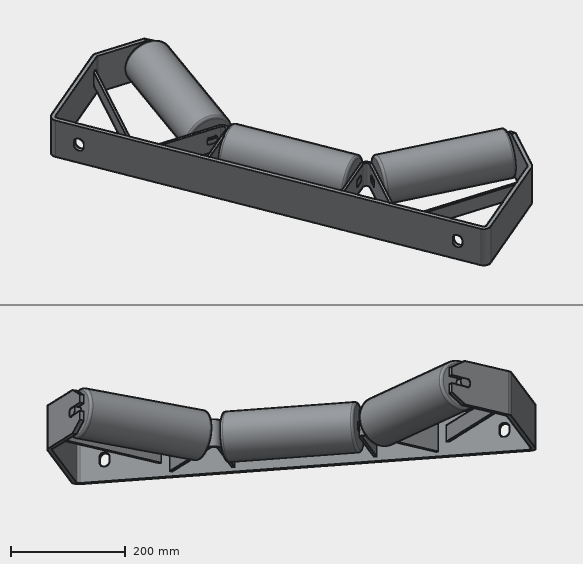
import cadquery as cq
import math

frame_length = 830.0
frame_height = 80.0
frame_thickness = 8.0
frame_outer_bend = 13.0
upright_height = 202.0
arm_length = 128.0
arm_tip_chamfer_height = 17.0
arm_tip_chamfer_length = 28.0

mount_hole_x = 358.0
mount_hole_width = 18.0
mount_hole_height = 26.0

trough_angle = 40.0
roller_tilt = 2.3

roller_diameter = 89.0
roller_length = 239.0
roller_edge_fillet = 5.0
roller_gap = 5.0
centre_roller_y = 100.5
side_roller_x = 251.0
side_roller_y = 192.5
shaft_diameter = 21.0
shaft_flat_width = 15.0

plate_thickness = 5.0
bracket_outer_bend = 12.0
bracket_height = 50.0
strut_height = 30.0
strut_top_y = 188.0

cos_trough = math.cos(math.radians(trough_angle))
sin_trough = math.sin(math.radians(trough_angle))
arm_rise = cos_trough
arm_run = sin_trough

carrier_face = roller_length / 2 + roller_gap
base_inner_y = frame_thickness


def mirrored(solid):
    """The right-hand twin of a left-hand shape."""
    return solid.mirror("YZ")


def bent_plate(points, bend_radius, thickness, height):
    """Upright plate following a path of middle points, with rounded bends."""
    path = cq.Wire.makePolygon([cq.Vector(x, y, 0) for x, y in points])
    if len(points) > 2:
        path = path.fillet2D(bend_radius, path.Vertices()[1:-1])
    (x0, y0), (x1, y1) = points[:2]
    start = cq.Plane(origin=(x0, y0, 0), xDir=(0, 0, 1), normal=(x1 - x0, y1 - y0, 0))
    return cq.Workplane(start).rect(height, thickness).sweep(cq.Workplane(path))


pivot_y = side_roller_y + carrier_face * sin_trough


def tilt_drop(y):
    """Height of the leaning plane of the roller axes at a given Y."""
    return (y - pivot_y) * math.tan(math.radians(roller_tilt))


def tilted(part):
    """Lean a part of the roller set, built with its axis at Z = 0."""
    return part.rotate((0, pivot_y, 0), (1, pivot_y, 0), roller_tilt)


def shaft(end_left, end_right):
    """Round shaft with two flats, reaching the given distances to either side."""
    length = end_left + end_right
    blank = cq.Workplane("YZ", origin=(-end_left, 0, 0)).circle(shaft_diameter / 2).extrude(length)
    flats = cq.Workplane("XY").box(length, shaft_diameter, shaft_flat_width)
    flats = flats.translate(((end_right - end_left) / 2, 0, 0))
    return blank.intersect(flats)


def roller(end_left, end_right):
    shell = cq.Workplane("YZ", origin=(-roller_length / 2, 0, 0)).circle(roller_diameter / 2)
    shell = shell.extrude(roller_length).edges("%CIRCLE").fillet(roller_edge_fillet)
    return shell.union(shaft(end_left, end_right))


def place_centre(part):
    return tilted(part.translate((0, centre_roller_y, 0)))


def place_left(part):
    part = part.rotate((0, 0, 0), (0, 0, 1), -trough_angle)
    return tilted(part.translate((-side_roller_x, side_roller_y, 0)))


arm_end = carrier_face + frame_thickness
bracket_end = carrier_face + plate_thickness
centre_roller = place_centre(roller(bracket_end, bracket_end))
left_roller = place_left(roller(arm_end, bracket_end))


def frame_path():
    half = frame_thickness / 2
    corner_shift = half * math.tan(math.radians(trough_angle / 2))
    corner_x = frame_length / 2 - half
    corner_y = upright_height - corner_shift
    middle_length = arm_length - corner_shift
    tip_x = corner_x - middle_length * arm_run
    tip_y = corner_y + middle_length * arm_rise
    right = [(corner_x, half), (corner_x, corner_y), (tip_x, tip_y)]
    left = [(-x, y) for x, y in reversed(right)]
    return left + right


def arm_slot():
    """Open slot of the left arm that receives the flats of the shaft."""
    mouth = cq.Workplane("XY").box(2 * frame_thickness, arm_length, shaft_flat_width)
    mouth = mouth.translate((-arm_end + frame_thickness / 2, arm_length / 2, 0))
    seat = shaft(arm_end + frame_thickness, 0)
    return place_left(seat.union(mouth))


def arm_tip_corners():
    """Wedges that cut the upper and lower corners off the tip of the left arm."""
    top = frame_height / 2
    tip_plane = cq.Plane(
        origin=(*frame_path()[0], 0),
        xDir=(arm_run, arm_rise, 0),
        normal=(arm_rise, -arm_run, 0),
    )
    upper = (
        cq.Workplane(tip_plane)
        .polyline([(0, top), (-arm_tip_chamfer_length, top), (0, top - arm_tip_chamfer_height)])
        .close()
        .extrude(frame_thickness, both=True)
    )
    return upper.union(upper.mirror("XY"))


def make_frame():
    path = frame_path()
    strip = bent_plate(path, frame_outer_bend - frame_thickness / 2, frame_thickness, frame_height)
    for cutter in (arm_tip_corners(), arm_slot()):
        strip = strip.cut(cutter).cut(mirrored(cutter))
    holes = (
        cq.Workplane("XZ")
        .pushPoints([(-mount_hole_x, 0), (mount_hole_x, 0)])
        .slot2D(mount_hole_height, mount_hole_width, 90)
        .extrude(-frame_thickness)
    )
    return strip.cut(holes)


def make_left_bracket():
    half = plate_thickness / 2
    leg_x = -carrier_face - half
    reach = carrier_face + half
    slope_x = -side_roller_x + reach * cos_trough
    slope_y = side_roller_y - reach * sin_trough
    apex_y = slope_y + (leg_x - slope_x) * arm_rise / arm_run
    foot_y = base_inner_y + half * sin_trough
    foot_x = slope_x + (foot_y - slope_y) * arm_run / arm_rise
    path = [(foot_x, foot_y), (leg_x, apex_y), (leg_x, base_inner_y)]
    plate = bent_plate(path, bracket_outer_bend - half, plate_thickness, bracket_height)
    plate = plate.translate((0, 0, tilt_drop(centre_roller_y)))
    plate = plate.cut(place_left(shaft(0, bracket_end)))
    return plate.cut(place_centre(shaft(bracket_end, 0)))


def make_left_strut():
    wall_x = frame_thickness - frame_length / 2
    overrun = plate_thickness
    slope = arm_rise / arm_run
    foot_y = base_inner_y + plate_thickness / 2 * sin_trough
    foot_x = wall_x + (strut_top_y - foot_y) / slope
    top = (wall_x - overrun, strut_top_y + overrun * slope)
    plate = bent_plate([top, (foot_x, foot_y)], 0, plate_thickness, strut_height)
    upright = cq.Workplane("XY").box(2 * overrun, 2 * upright_height, frame_height)
    return plate.cut(upright.translate((wall_x - overrun, upright_height, 0)))


frame = make_frame()
side_bodies = []
for left_body in (left_roller, make_left_bracket(), make_left_strut()):
    side_bodies += [left_body.val(), mirrored(left_body).val()]

result = cq.Compound.makeCompound([frame.val(), centre_roller.val(), *side_bodies])